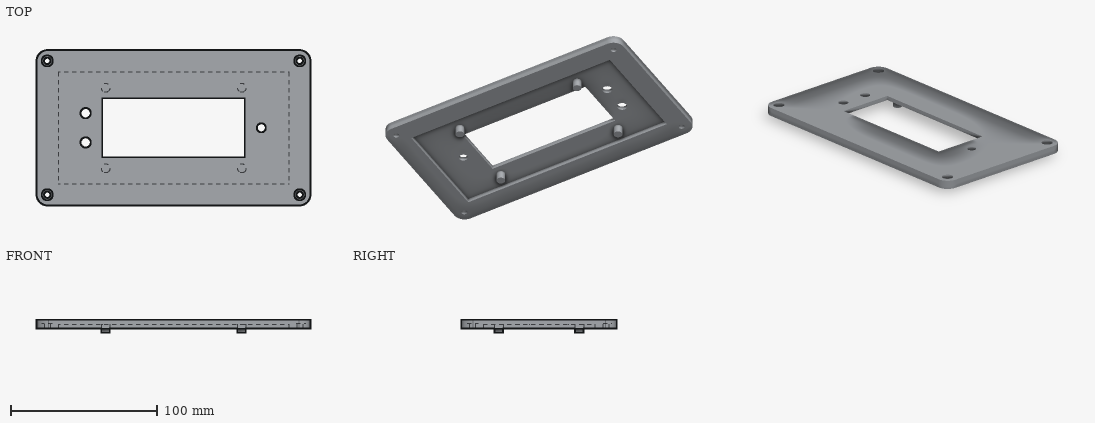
import cadquery as cq

plate_length = 187.4
plate_width = 106.4
overall_height = 9.0
rim_height = 6.0
corner_radius = 8.0

screw_inset = 7.5
screw_hole_diameter = 4.2
screw_head_diameter = 7.6
screw_head_depth = 2.3

panel_thickness = 3.0
rim_width = 2 * screw_inset

window_length = 97.2
window_width = 40.2

panel_hole_offset = 60.0
pair_hole_diameter = 6.9
pair_hole_spacing = 20.0
single_hole_diameter = 6.0

standoff_diameter = 6.0
standoff_spacing_x = 93.0
standoff_spacing_y = 55.0


def block(length, width, height, z_top):
    """Rectangular block centred in X and Y, hanging down from z_top."""
    return cq.Workplane("XY").workplane(offset=z_top).rect(length, width).extrude(-height)


def cylinders(points, diameter, height, z_top):
    """Vertical cylinders at the given points, hanging down from z_top."""
    return (
        cq.Workplane("XY").workplane(offset=z_top)
        .pushPoints(points).circle(diameter / 2).extrude(-height)
    )


def rectangle_corners(length, width):
    """Corner points of a rectangle centred on the origin."""
    return [(sx * length / 2, sy * width / 2) for sx in (-1, 1) for sy in (-1, 1)]


def make_panel():
    """Rounded plate with the underside pocket and the display window."""
    plate = block(plate_length, plate_width, rim_height, 0).edges("|Z").fillet(corner_radius)
    pocket = block(
        plate_length - 2 * rim_width,
        plate_width - 2 * rim_width,
        rim_height - panel_thickness,
        -panel_thickness,
    )
    window = block(window_length, window_width, panel_thickness, 0)
    return plate.cut(pocket).cut(window)


def cut_screw_holes(body):
    points = rectangle_corners(plate_length - 2 * screw_inset, plate_width - 2 * screw_inset)
    shanks = cylinders(points, screw_hole_diameter, rim_height, 0)
    heads = cylinders(points, screw_head_diameter, screw_head_depth, 0)
    return body.cut(shanks).cut(heads)


def cut_panel_holes(body):
    pair_points = [(-panel_hole_offset, side * pair_hole_spacing / 2) for side in (-1, 1)]
    pair = cylinders(pair_points, pair_hole_diameter, panel_thickness, 0)
    single = cylinders([(panel_hole_offset, 0)], single_hole_diameter, panel_thickness, 0)
    return body.cut(pair).cut(single)


def add_standoffs(body):
    points = rectangle_corners(standoff_spacing_x, standoff_spacing_y)
    return body.union(cylinders(points, standoff_diameter, overall_height, 0))


result = add_standoffs(cut_panel_holes(cut_screw_holes(make_panel()))).clean()